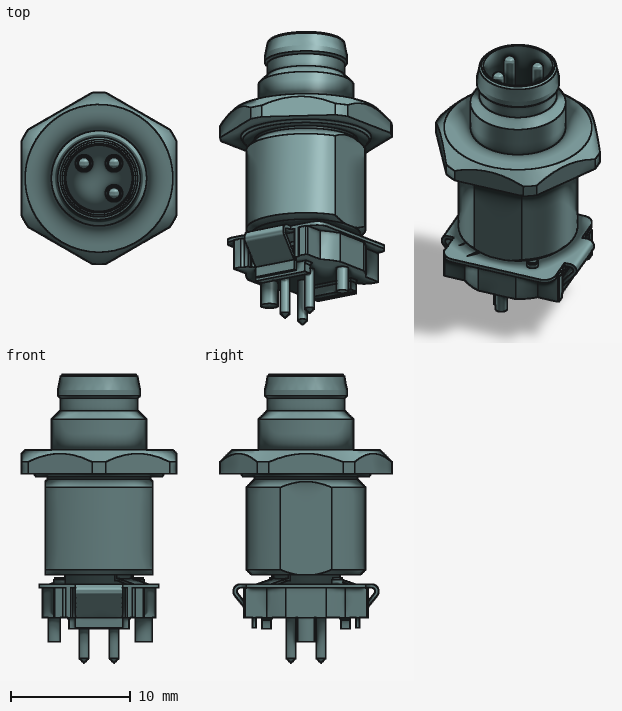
import cadquery as cq
import math

TIP_CONE_TOP = 0.4
LOCATING_PEG_BOTTOM = 1.79
FOOT_BOTTOM = 2.87
HOUSING_BOTTOM = 3.82
PLATE_BOTTOM = 6.3
PLATE_TOP = 6.62
BODY_BOTTOM = 7.4
BODY_TOP = 15.38
WASHER_BOTTOM = 15.6
NUT_BOTTOM = 15.85
NUT_TOP = 17.85
SHOULDER_CONE_BOTTOM = 20.4
GROOVE_BOTTOM = 21.13
RIM_TOP = 24.15

BODY_RADIUS = 5.0
BODY_FLAT_X = 4.52
BODY_BOTTOM_CHAMFER = 0.43
BODY_TOP_CHAMFER = 0.68
THREAD_RADIUS = 3.98
GROOVE_RADIUS = 3.25
LIP_RADIUS = 3.45
LIP_BOTTOM = 22.17
LIP_BOTTOM_CHAMFER = 0.2
LIP_TOP = 22.87
RIM_RADIUS = 3.24
RIM_CHAMFER = 0.17
BORE_FLOOR = 17.87
BORE_RADIUS = 2.9
BORE_FLOOR_CHAMFER = 0.12
NECK_RADIUS = 2.85

NUT_ACROSS_FLATS = 13.0
NUT_CORNER_RADIUS = 7.2
NUT_FACE_RADIUS = 6.18
WASHER_RADIUS = 5.45
WASHER_CHAMFER = 0.17

CONTACT_OFFSET = 1.25
CONTACT_RADIUS = 0.48
CONTACT_TOP = 23.85
CONTACT_ROUNDING = 0.39
TAIL_RADIUS = 0.4
RECESS_RADIUS = 0.72
RECESS_BOTTOM_RADIUS = 0.58
RECESS_DEPTH = 0.15
CONTACT_PLACES = [(-CONTACT_OFFSET, CONTACT_OFFSET), (CONTACT_OFFSET, CONTACT_OFFSET),
                  (CONTACT_OFFSET, -CONTACT_OFFSET)]

PLATE_HALF = 5.0
PLATE_CORNER = 1.05
SHEET = PLATE_TOP - PLATE_BOTTOM
CLIP_HALF_WIDTH = 1.98
CLIP_BEND_Y = 5.48
CLIP_BEND_RADIUS = 0.6
CLIP_SLANT_ANGLE = 38.5
CLIP_LEG_Y = 4.5
CLIP_LEG_BOTTOM = 2.95
TAB_WIDTH = 1.7
TAB_THICKNESS = 0.25
TAB_START_RADIUS = 4.97
TAB_UPRIGHT_RADIUS = 3.1
TAB_RAMP_TOP = 7.12
RIVET_X = 3.3
RIVET_Y = 2.63
RIVET_RADIUS = 0.48
RIVET_TOP_RADIUS = 0.4
RIVET_STEP = 6.98
RIVET_TOP = 7.12

HOUSING_ROUND_RADIUS = 5.02
HOUSING_HALF_X = 4.73
BLOCK_HALF_X = 3.8
BLOCK_HALF_Y = 5.2
BLOCK_CHAMFER = 0.1
FRONT_RECESS_Y = PLATE_HALF
FRONT_RECESS_HALF = 3.02
FRONT_RECESS_INNER_HALF = 2.78
SLOT_HALF = 2.37
SLOT_STEP_HALF = 2.2
SLOT_STEP_Y = 4.7
SLOT_BACK_Y = CLIP_LEG_Y - SHEET
FOOT_HALF_X = 2.5
FOOT_OUTER_Y = 3.7
FOOT_INNER_Y = 2.92
FOOT_FLARE = 0.12
FOOT_FLARE_HEIGHT = 0.22
PEG_X = 3.75
SMALL_PEG_RADIUS = 0.5
LARGE_PEG_RADIUS = 0.72
LEDGE_Y = 4.52
LEDGE_TOP = 5.48
LEDGE_NOSE = 5.0
LEDGE_BOTTOM = 4.65


def cylinder(radius, bottom, top, x=0, y=0):
    return cq.Workplane("XY", origin=(x, y, bottom)).circle(radius).extrude(top - bottom)


def block(half_x, half_y, bottom, top):
    return cq.Workplane("XY", origin=(0, 0, bottom)).rect(2 * half_x, 2 * half_y).extrude(top - bottom)


def turned(profile, x=0, y=0):
    """Revolve (radius, z) points about a vertical axis through (x, y)."""
    solid = cq.Workplane("XZ").polyline(profile).close().revolve(360, (0, 0, 0), (0, 1, 0))
    return solid.translate((x, y, 0))


def lower_body():
    body = turned([
        (0, BODY_BOTTOM),
        (BODY_RADIUS - BODY_BOTTOM_CHAMFER, BODY_BOTTOM),
        (BODY_RADIUS, BODY_BOTTOM + BODY_BOTTOM_CHAMFER),
        (BODY_RADIUS, BODY_TOP - BODY_TOP_CHAMFER),
        (BODY_RADIUS - BODY_TOP_CHAMFER, BODY_TOP),
        (BODY_RADIUS - BODY_TOP_CHAMFER, NUT_BOTTOM),
        (0, NUT_BOTTOM),
    ])
    return body.intersect(block(BODY_FLAT_X, BODY_RADIUS, BODY_BOTTOM, NUT_BOTTOM))


def socket():
    return turned([
        (0, NUT_BOTTOM),
        (THREAD_RADIUS, NUT_BOTTOM),
        (THREAD_RADIUS, SHOULDER_CONE_BOTTOM),
        (GROOVE_RADIUS, GROOVE_BOTTOM),
        (GROOVE_RADIUS, LIP_BOTTOM),
        (LIP_RADIUS, LIP_BOTTOM + LIP_BOTTOM_CHAMFER),
        (LIP_RADIUS, LIP_TOP),
        (RIM_RADIUS, RIM_TOP - RIM_CHAMFER),
        (RIM_RADIUS - RIM_CHAMFER, RIM_TOP),
        (BORE_RADIUS, RIM_TOP),
        (BORE_RADIUS, BORE_FLOOR + BORE_FLOOR_CHAMFER),
        (BORE_RADIUS - BORE_FLOOR_CHAMFER, BORE_FLOOR),
        (0, BORE_FLOOR),
    ])


def nut():
    corner_radius = NUT_ACROSS_FLATS / math.sqrt(3)
    hexagon = (
        cq.Workplane("XY", origin=(0, 0, NUT_BOTTOM))
        .polygon(6, 2 * corner_radius)
        .extrude(NUT_TOP - NUT_BOTTOM)
        .rotate((0, 0, 0), (0, 0, 1), 30)
    )
    chamfer = NUT_CORNER_RADIUS - NUT_FACE_RADIUS
    envelope = turned([
        (0, NUT_BOTTOM),
        (NUT_CORNER_RADIUS, NUT_BOTTOM),
        (NUT_CORNER_RADIUS, NUT_TOP - chamfer),
        (NUT_FACE_RADIUS, NUT_TOP),
        (0, NUT_TOP),
    ])
    washer = turned([
        (0, WASHER_BOTTOM),
        (WASHER_RADIUS - WASHER_CHAMFER, WASHER_BOTTOM),
        (WASHER_RADIUS, NUT_BOTTOM),
        (0, NUT_BOTTOM),
    ])
    return hexagon.intersect(envelope).union(washer)


def contact_recess(x, y):
    """Tapered recess in the socket floor around a contact."""
    return turned([
        (0, BORE_FLOOR - RECESS_DEPTH),
        (RECESS_BOTTOM_RADIUS, BORE_FLOOR - RECESS_DEPTH),
        (RECESS_RADIUS, BORE_FLOOR),
        (0, BORE_FLOOR),
    ], x, y)


def contact(x, y):
    """Contact pin in the socket, with a rounded end."""
    pin = cylinder(CONTACT_RADIUS, NUT_BOTTOM, CONTACT_TOP, x, y)
    return pin.faces(">Z").edges().fillet(CONTACT_ROUNDING)


def contact_tail(x, y):
    """Pointed solder tail below the housing."""
    return turned([
        (0, 0),
        (TAIL_RADIUS, TIP_CONE_TOP),
        (TAIL_RADIUS, PLATE_BOTTOM),
        (0, PLATE_BOTTOM),
    ], x, y)


def plate():
    return block(PLATE_HALF, PLATE_HALF, PLATE_BOTTOM, PLATE_TOP).edges("|Z").fillet(PLATE_CORNER)


def spring_clip():
    """Sheet strip that leaves the +Y plate edge, curls over and slants back into the housing."""
    bend_z = PLATE_TOP - CLIP_BEND_RADIUS
    inner_radius = CLIP_BEND_RADIUS - SHEET
    slant = math.radians(CLIP_SLANT_ANGLE)

    def on_bend(radius, angle):
        return (CLIP_BEND_Y + radius * math.cos(angle), bend_z + radius * math.sin(angle))

    def slant_to(start, y):
        """Point at y on the slanted stretch that leaves the bend at start."""
        return (y, start[1] - (start[0] - y) / math.tan(slant))

    outer_end = on_bend(CLIP_BEND_RADIUS, -slant)
    inner_end = on_bend(inner_radius, -slant)
    return (
        cq.Workplane("YZ", origin=(-CLIP_HALF_WIDTH, 0, 0))
        .moveTo(PLATE_HALF - SHEET, PLATE_TOP)
        .lineTo(CLIP_BEND_Y, PLATE_TOP)
        .threePointArc(on_bend(CLIP_BEND_RADIUS, 0), outer_end)
        .lineTo(*slant_to(outer_end, CLIP_LEG_Y))
        .lineTo(CLIP_LEG_Y, CLIP_LEG_BOTTOM)
        .lineTo(CLIP_LEG_Y - SHEET, CLIP_LEG_BOTTOM)
        .lineTo(*slant_to(inner_end, CLIP_LEG_Y - SHEET))
        .lineTo(*inner_end)
        .threePointArc(on_bend(inner_radius, 0), (CLIP_BEND_Y, PLATE_BOTTOM))
        .lineTo(PLATE_HALF - SHEET, PLATE_BOTTOM)
        .close()
        .extrude(2 * CLIP_HALF_WIDTH)
    )


def body_tab():
    """Sheet tab that ramps up from the plate along +X and stands upright against the neck."""
    buried_z = PLATE_TOP - TAB_THICKNESS / 2
    foot_of_upright = TAB_RAMP_TOP - TAB_THICKNESS
    ramp = (
        cq.Workplane("XZ", origin=(0, TAB_WIDTH / 2, 0))
        .polyline([
            (0, TAB_RAMP_TOP),
            (0, foot_of_upright),
            (TAB_UPRIGHT_RADIUS, foot_of_upright),
            (TAB_START_RADIUS - 2 * TAB_THICKNESS, buried_z),
            (TAB_START_RADIUS, buried_z),
            (TAB_START_RADIUS, PLATE_TOP),
            (TAB_UPRIGHT_RADIUS - TAB_THICKNESS, TAB_RAMP_TOP),
        ])
        .close()
        .extrude(TAB_WIDTH)
    )
    sector = cq.Workplane("XY", origin=(TAB_UPRIGHT_RADIUS / 2, 0, foot_of_upright))
    sector = sector.rect(TAB_UPRIGHT_RADIUS, TAB_WIDTH).extrude(BODY_BOTTOM - foot_of_upright)
    upright = sector.intersect(cylinder(TAB_UPRIGHT_RADIUS, foot_of_upright, BODY_BOTTOM))
    return ramp.union(upright)


def rivet(x, y):
    base = cylinder(RIVET_RADIUS, PLATE_BOTTOM, RIVET_STEP, x, y)
    return base.union(cylinder(RIVET_TOP_RADIUS, RIVET_STEP, RIVET_TOP, x, y))


def clip_slot():
    """Opening in the +Y face of the housing, narrowing in steps towards the clip leg."""
    half_outline = [
        (FRONT_RECESS_HALF, BLOCK_HALF_Y),
        (FRONT_RECESS_INNER_HALF, FRONT_RECESS_Y),
        (SLOT_HALF, FRONT_RECESS_Y),
        (SLOT_HALF, SLOT_STEP_Y),
        (SLOT_STEP_HALF, SLOT_STEP_Y),
        (CLIP_HALF_WIDTH, SLOT_BACK_Y),
    ]
    mirrored = [(-x, y) for x, y in reversed(half_outline)]
    return (
        cq.Workplane("XY", origin=(0, 0, HOUSING_BOTTOM))
        .polyline(half_outline + mirrored)
        .close()
        .extrude(PLATE_BOTTOM - HOUSING_BOTTOM)
    )


def clip_ledge():
    """Ramped ledge on the back of the slot, behind the slanted stretch of the clip."""
    return (
        cq.Workplane("YZ", origin=(-CLIP_HALF_WIDTH, 0, 0))
        .polyline([
            (SLOT_BACK_Y, LEDGE_BOTTOM),
            (LEDGE_Y, LEDGE_BOTTOM),
            (LEDGE_Y, LEDGE_NOSE),
            (SLOT_BACK_Y, LEDGE_TOP),
        ])
        .close()
        .extrude(2 * CLIP_HALF_WIDTH)
    )


def foot():
    """Bar under the housing whose ends and inner side flare out where they meet the underside."""
    half_y = (FOOT_OUTER_Y - FOOT_INNER_Y) / 2
    middle_y = (FOOT_OUTER_Y + FOOT_INNER_Y) / 2
    bar = block(FOOT_HALF_X, half_y, FOOT_BOTTOM, HOUSING_BOTTOM)
    flare = (
        cq.Workplane("XY", origin=(0, 0, HOUSING_BOTTOM - FOOT_FLARE_HEIGHT))
        .rect(2 * FOOT_HALF_X, 2 * half_y)
        .workplane(offset=FOOT_FLARE_HEIGHT)
        .center(0, -FOOT_FLARE / 2)
        .rect(2 * (FOOT_HALF_X + FOOT_FLARE), 2 * half_y + FOOT_FLARE)
        .loft(ruled=True)
    )
    return bar.union(flare).translate((0, middle_y, 0))


def both_ends(feature):
    """The feature and its copy turned half a turn about Z."""
    return feature.union(feature.rotate((0, 0, 0), (0, 0, 1), 180))


def housing():
    middle = cylinder(HOUSING_ROUND_RADIUS, HOUSING_BOTTOM, PLATE_BOTTOM)
    middle = middle.intersect(block(HOUSING_HALF_X, HOUSING_ROUND_RADIUS, HOUSING_BOTTOM, PLATE_BOTTOM))
    ends = block(BLOCK_HALF_X, BLOCK_HALF_Y, HOUSING_BOTTOM, PLATE_BOTTOM)
    ends = ends.edges("|Z").chamfer(BLOCK_CHAMFER)
    shell = middle.union(ends).cut(both_ends(clip_slot()))
    shell = shell.union(both_ends(clip_ledge())).union(both_ends(foot()))
    small_peg = cylinder(SMALL_PEG_RADIUS, LOCATING_PEG_BOTTOM, HOUSING_BOTTOM, -PEG_X)
    large_peg = cylinder(LARGE_PEG_RADIUS, LOCATING_PEG_BOTTOM, HOUSING_BOTTOM, PEG_X)
    return shell.union(small_peg).union(large_peg)


result = lower_body().union(socket()).union(nut())
for place in CONTACT_PLACES:
    result = result.cut(contact_recess(*place)).union(contact(*place))
result = result.union(cylinder(NECK_RADIUS, PLATE_BOTTOM, BODY_BOTTOM))
result = result.union(plate()).union(housing())
result = result.union(both_ends(spring_clip()))
result = result.union(both_ends(body_tab().rotate((0, 0, 0), (0, 0, 1), -45)))
result = result.union(both_ends(rivet(RIVET_X, RIVET_Y)))
for place in CONTACT_PLACES:
    result = result.union(contact_tail(*place))